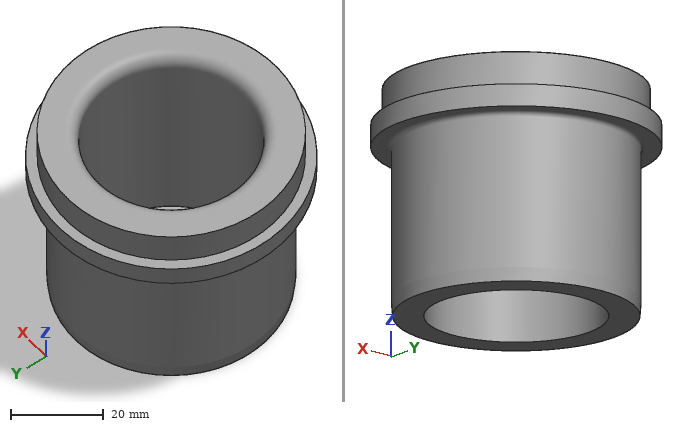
import cadquery as cq

flange_diameter = 63.0
head_diameter = 58.0
body_diameter = 54.0
bore_diameter = 40.0

total_height = 51.0
head_height = 8.0
flange_height = 5.0

mouth_radius = 3.0
neck_radius = 1.0
lead_in_height = 3.0
lead_in_depth = 0.25

flange_top = total_height - head_height
flange_bottom = flange_top - flange_height
flange_radius = flange_diameter / 2
head_radius = head_diameter / 2
body_radius = body_diameter / 2
bore_radius = bore_diameter / 2

section = (
    cq.Workplane("XZ")
    .moveTo(bore_radius, 0)
    .lineTo(body_radius - lead_in_depth, 0)
    .lineTo(body_radius, lead_in_height)
    .lineTo(body_radius, flange_bottom - neck_radius)
    .radiusArc((body_radius + neck_radius, flange_bottom), neck_radius)
    .lineTo(flange_radius, flange_bottom)
    .lineTo(flange_radius, flange_top)
    .lineTo(head_radius, flange_top)
    .lineTo(head_radius, total_height)
    .lineTo(bore_radius + mouth_radius, total_height)
    .radiusArc((bore_radius, total_height - mouth_radius), -mouth_radius)
    .close()
)
result = section.revolve(360, (0, 0, 0), (0, 1, 0))